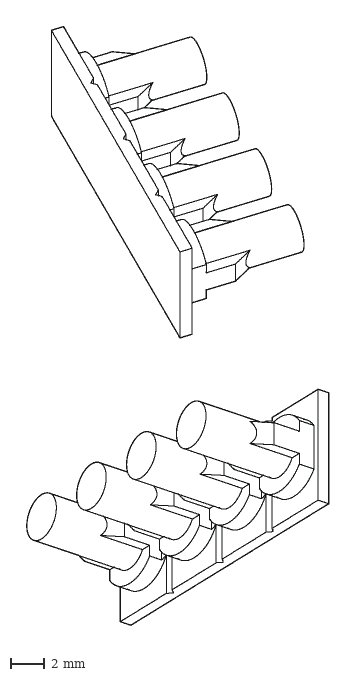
import cadquery as cq
import math

plate_length = 20.0
plate_height = 7.5
plate_thickness = 0.8

pin_count = 4
pin_pitch = 5.04
pin_diameter = 3.0
pin_tip_y = 8.5

collar_diameter = 5.0
collar_top_y = 1.9

gap_width = 1.0
gap_point_y = 0.5
gap_point_angle = 90.0
flat_width = pin_pitch - gap_width

rib_thickness = 1.5
rib_shoulder_y = 3.8
rib_taper_angle = 60.0

pin_positions = [(i - (pin_count - 1) / 2) * pin_pitch for i in range(pin_count)]
gap_positions = [x + pin_pitch / 2 for x in pin_positions[:-1]]
end_positions = [pin_positions[0] - pin_pitch / 2, pin_positions[-1] + pin_pitch / 2]


def make_plate():
    return cq.Workplane("XY").box(
        plate_length, plate_thickness, plate_height, centered=(True, False, True)
    )


def cylinder_along_y(diameter, end_y):
    """Cylinder on the Y axis, from the back of the plate to end_y."""
    back_plane = cq.Workplane("XZ", origin=(0, plate_thickness, 0))
    return back_plane.circle(diameter / 2).extrude(plate_thickness - end_y)


def make_ribs():
    """Both ribs of a pin as one bar whose sloped ends meet inside the pin."""
    half_width = flat_width / 2
    apex_y = rib_shoulder_y + half_width * math.tan(math.radians(rib_taper_angle))
    return (
        cq.Workplane("XY")
        .moveTo(-half_width, plate_thickness)
        .lineTo(half_width, plate_thickness)
        .lineTo(half_width, rib_shoulder_y)
        .lineTo(0, apex_y)
        .lineTo(-half_width, rib_shoulder_y)
        .close()
        .extrude(rib_thickness / 2, both=True)
    )


def make_pin():
    pin = cylinder_along_y(pin_diameter, pin_tip_y)
    collar = cylinder_along_y(collar_diameter, collar_top_y)
    return pin.union(collar).union(make_ribs())


def make_gap_cutter():
    """Slot with a pointed bottom, running through the full plate height."""
    half_width = gap_width / 2
    shoulder_y = gap_point_y + half_width / math.tan(math.radians(gap_point_angle / 2))
    return (
        cq.Workplane("XY")
        .moveTo(0, gap_point_y)
        .lineTo(half_width, shoulder_y)
        .lineTo(half_width, pin_tip_y)
        .lineTo(-half_width, pin_tip_y)
        .lineTo(-half_width, shoulder_y)
        .close()
        .extrude(plate_height / 2, both=True)
    )


def make_end_cutter():
    """Block that flattens the outer side of an end collar down to the plate."""
    block = cq.Workplane("XY").box(gap_width, pin_tip_y, plate_height, centered=(True, False, True))
    return block.translate((0, plate_thickness, 0))


result = make_plate()

for x in pin_positions:
    result = result.union(make_pin().translate((x, 0, 0)))

for x in gap_positions:
    result = result.cut(make_gap_cutter().translate((x, 0, 0)))

for x in end_positions:
    result = result.cut(make_end_cutter().translate((x, 0, 0)))